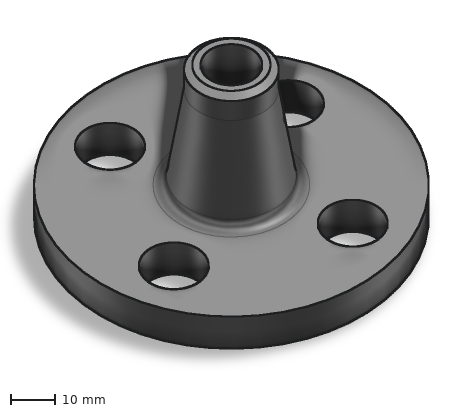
import cadquery as cq

flange_diameter = 88.9
flange_thickness = 9.7
face_diameter = 35.0
face_height = 1.6

total_height = 47.55
neck_diameter = 21.3
neck_length = 7.3
hub_base_diameter = 30.0
hub_fillet = 3.0
bevel_width = 1.9
bevel_height = 1.4
bore_diameter = 13.9

bolt_count = 4
bolt_circle_diameter = 60.4
bolt_hole_diameter = 15.7

flange_top = face_height + flange_thickness
neck_bottom = total_height - neck_length


def turned_body():
    """Revolve the raised face, plate, tapered hub and bevelled neck about Z."""
    profile = (
        cq.Workplane("XZ")
        .moveTo(0, 0)
        .lineTo(face_diameter / 2, 0)
        .lineTo(face_diameter / 2, face_height)
        .lineTo(flange_diameter / 2, face_height)
        .lineTo(flange_diameter / 2, flange_top)
        .lineTo(hub_base_diameter / 2, flange_top)
        .lineTo(neck_diameter / 2, neck_bottom)
        .lineTo(neck_diameter / 2, total_height - bevel_height)
        .lineTo(neck_diameter / 2 - bevel_width, total_height)
        .lineTo(0, total_height)
        .close()
    )
    return profile.revolve(360, (0, 0, 0), (0, 1, 0))


def fillet_hub_base(body):
    """Round the inside corner where the hub meets the plate."""
    plate_top = body.faces("+Z").faces("<Z")
    return plate_top.edges(cq.selectors.RadiusNthSelector(0)).fillet(hub_fillet)


def bore():
    return cq.Workplane("XY").circle(bore_diameter / 2).extrude(total_height)


def bolt_holes():
    return (
        cq.Workplane("XY")
        .polarArray(bolt_circle_diameter / 2, 0, 360, bolt_count)
        .circle(bolt_hole_diameter / 2)
        .extrude(flange_top)
    )


result = fillet_hub_base(turned_body()).cut(bore()).cut(bolt_holes())